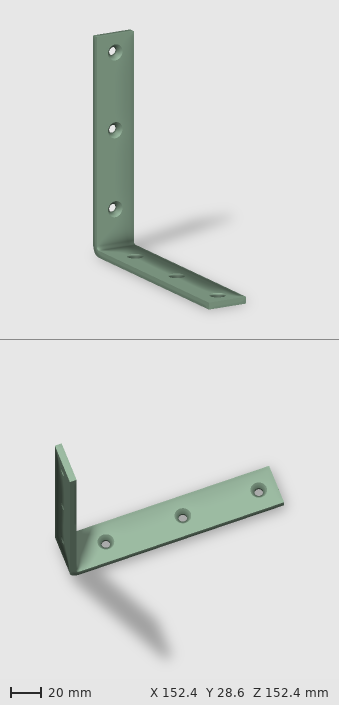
import cadquery as cq

leg_length = 152.4
width = 28.575
thickness = 4.8
inner_bend_radius = thickness / 2
outer_bend_radius = inner_bend_radius + thickness

hole_diameter = 5.75
countersink_diameter = 11.15
countersink_angle = 82
end_distance = 12.7
middle_distance = 66.675
bend_side_distance = 121.45
hole_distances = (end_distance, middle_distance, bend_side_distance)


def make_bent_strip():
    """L-shaped strip with its outer corner at the XZ origin, centred on Y."""
    profile = (
        cq.Workplane("XZ")
        .moveTo(outer_bend_radius, 0)
        .lineTo(leg_length, 0)
        .lineTo(leg_length, thickness)
        .lineTo(outer_bend_radius, thickness)
        .radiusArc((thickness, outer_bend_radius), inner_bend_radius)
        .lineTo(thickness, leg_length)
        .lineTo(0, leg_length)
        .lineTo(0, outer_bend_radius)
        .radiusArc((outer_bend_radius, 0), -outer_bend_radius)
        .close()
    )
    return profile.extrude(width / 2, both=True)


def cut_leg_holes(body, inner_face, centers):
    """Cut a row of through holes countersunk from the inner face of one leg."""
    return (
        body.copyWorkplane(inner_face)
        .pushPoints(centers)
        .cskHole(hole_diameter, countersink_diameter, countersink_angle, depth=thickness)
    )


positions = [leg_length - distance for distance in hole_distances]

horizontal_face = cq.Workplane("XY", origin=(0, 0, thickness))
vertical_face = cq.Workplane("YZ", origin=(thickness, 0, 0))

result = make_bent_strip()
result = cut_leg_holes(result, horizontal_face, [(position, 0) for position in positions])
result = cut_leg_holes(result, vertical_face, [(0, position) for position in positions])